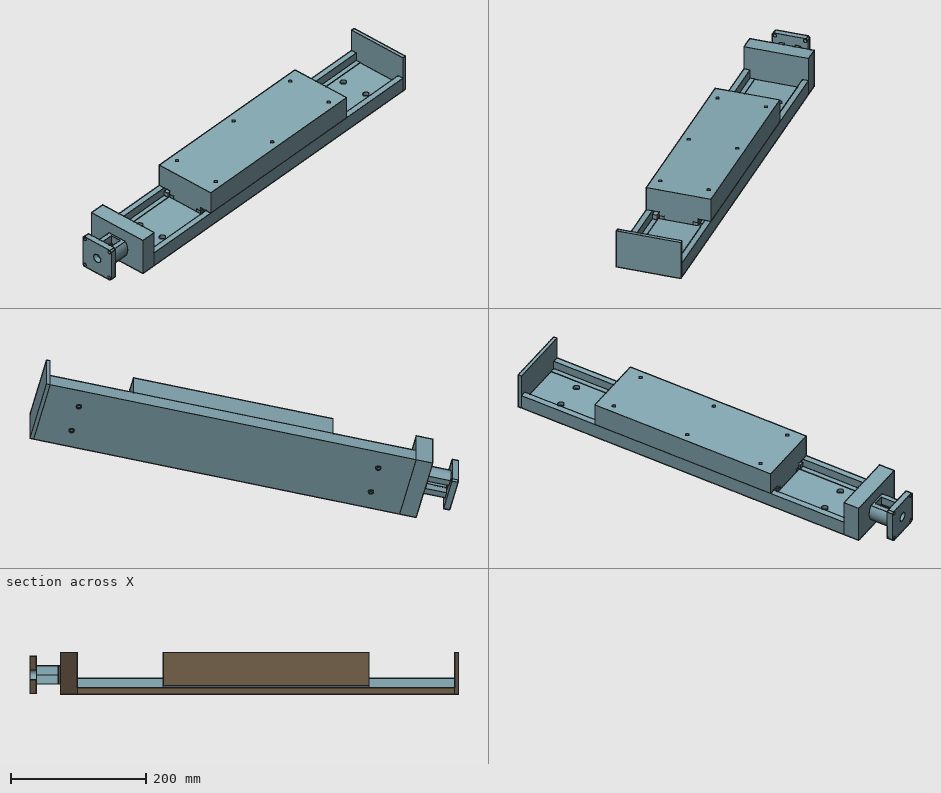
import cadquery as cq
overall_length = 635.0
base_width = 101.5
base_length = 559.0
base_height = 24.0
wall_thickness = 9.5
seat_level = 10.0
seat_width = 7.5
floor_level = 9.5
mount_hole_diameter = 7.5
counterbore_diameter = 9.5
counterbore_depth = 6.5
mount_hole_pitch_x = 44.5
mount_hole_pitch_y = 457.5

plate_height = 62.0
end_plate_thickness = 6.0
front_block_thickness = 25.5

carriage_length = 305.0
tongue_bottom = 13.0
rail_height = 7.5
rail_gap = 3.0
carriage_hole_diameter = 5.0
carriage_hole_depth = 13.0
carriage_hole_pitch_x = 76.0
carriage_hole_pitch_y = 127.0

flange_size = 56.0
flange_bottom_clearance = 0.95
flange_thickness = 9.5
flange_chamfer = 2.5
pilot_diameter = 14.0
flange_hole_pitch = 47.5
flange_hole_diameter = 5.0
neck_diameter = 42.0
neck_height = 27.0
window_end_wall = 3.0
upper_window_width = 17.0
lower_window_width = 13.5

channel_width = base_width - 2 * wall_thickness
floor_width = channel_width - 2 * seat_width
base_mid_y = base_length / 2
carriage_start_y = base_mid_y - carriage_length / 2
carriage_end_y = base_mid_y + carriage_length / 2
rail_top = seat_level + rail_height
shelf_width = floor_width - 2 * rail_gap
tongue_width = shelf_width - 2 * seat_width
outer_rail_x = (channel_width - seat_width) / 2
inner_rail_x = (shelf_width - seat_width) / 2
mount_axis_z = flange_bottom_clearance + flange_size / 2
neck_start_y = -front_block_thickness
flange_front_y = base_length + end_plate_thickness - overall_length
flange_back_y = flange_front_y + flange_thickness


def block(width, y_start, y_end, z_bottom, z_top, x_centre=0.0):
    """Box centred at x_centre, between two Y positions and two Z levels."""
    return (
        cq.Workplane("XY")
        .box(width, y_end - y_start, z_top - z_bottom, centered=(True, False, False))
        .translate((x_centre, y_start, z_bottom))
    )


def make_base():
    """Open channel with a rail seat along each wall and four counterbored holes."""
    base = block(base_width, 0, base_length, 0, base_height)
    base = base.cut(block(channel_width, 0, base_length, seat_level, base_height))
    base = base.cut(block(floor_width, 0, base_length, floor_level, seat_level))
    hole_centres = cq.Workplane("XY", origin=(0, base_mid_y, floor_level)).rarray(
        mount_hole_pitch_x, mount_hole_pitch_y, 2, 2
    )
    holes = hole_centres.circle(mount_hole_diameter / 2).extrude(-floor_level)
    counterbores = hole_centres.circle(counterbore_diameter / 2).extrude(-counterbore_depth)
    return base.cut(holes).cut(counterbores)


def make_carriage():
    """Table with a stepped tongue below it and six blind holes in its top."""
    carriage = block(base_width, carriage_start_y, carriage_end_y, base_height, plate_height)
    shelf = block(shelf_width, carriage_start_y, carriage_end_y, rail_top, base_height)
    tongue = block(tongue_width, carriage_start_y, carriage_end_y, tongue_bottom, rail_top)
    holes = (
        cq.Workplane("XY", origin=(0, base_mid_y, plate_height))
        .rarray(carriage_hole_pitch_x, carriage_hole_pitch_y, 2, 3)
        .circle(carriage_hole_diameter / 2)
        .extrude(-carriage_hole_depth)
    )
    return carriage.union(shelf).union(tongue).cut(holes)


def make_rail(x_centre, z_bottom):
    """Straight rail as long as the carriage, with its top at the shared rail level."""
    return block(seat_width, carriage_start_y, carriage_end_y, z_bottom, rail_top, x_centre)


def make_neck():
    """Round neck with two flats; its window is narrower below the axis than above."""
    flat_bottom = mount_axis_z - neck_height / 2
    flat_top = mount_axis_z + neck_height / 2
    window_start_y = neck_start_y - window_end_wall
    neck = (
        cq.Workplane("XZ", origin=(0, neck_start_y, mount_axis_z))
        .circle(neck_diameter / 2)
        .extrude(neck_start_y - flange_back_y)
    )
    neck = neck.intersect(block(neck_diameter, flange_back_y, neck_start_y, flat_bottom, flat_top))
    upper_window = block(upper_window_width, flange_back_y, window_start_y, mount_axis_z, flat_top)
    lower_window = block(lower_window_width, flange_back_y, window_start_y, flat_bottom, mount_axis_z)
    return neck.cut(upper_window).cut(lower_window)


def make_flange():
    """Square flange with chamfered corners, a pilot bore and four corner holes."""
    flange_plane = cq.Workplane("XZ", origin=(0, flange_back_y, mount_axis_z))
    flange = (
        flange_plane.rect(flange_size, flange_size)
        .extrude(flange_thickness)
        .edges("|Y")
        .chamfer(flange_chamfer)
    )
    pilot = (
        cq.Workplane("XZ", origin=(0, flange_back_y, mount_axis_z))
        .circle(pilot_diameter / 2)
        .extrude(flange_thickness)
    )
    holes = (
        cq.Workplane("XZ", origin=(0, flange_back_y, mount_axis_z))
        .rarray(flange_hole_pitch, flange_hole_pitch, 2, 2)
        .circle(flange_hole_diameter / 2)
        .extrude(flange_thickness)
    )
    return flange.cut(pilot).cut(holes)


base = make_base()
end_plate = block(base_width, base_length, base_length + end_plate_thickness, 0, plate_height)
front_block = block(base_width, -front_block_thickness, 0, 0, plate_height)
carriage = make_carriage()
motor_mount = make_neck().union(make_flange())

rails = []
for side in (-1, 1):
    rails.append(make_rail(side * outer_rail_x, seat_level).val())
    rails.append(make_rail(side * inner_rail_x, tongue_bottom).val())

result = cq.Compound.makeCompound(
    [
        base.val(),
        end_plate.val(),
        front_block.val(),
        carriage.val(),
        motor_mount.val(),
        *rails,
    ]
)